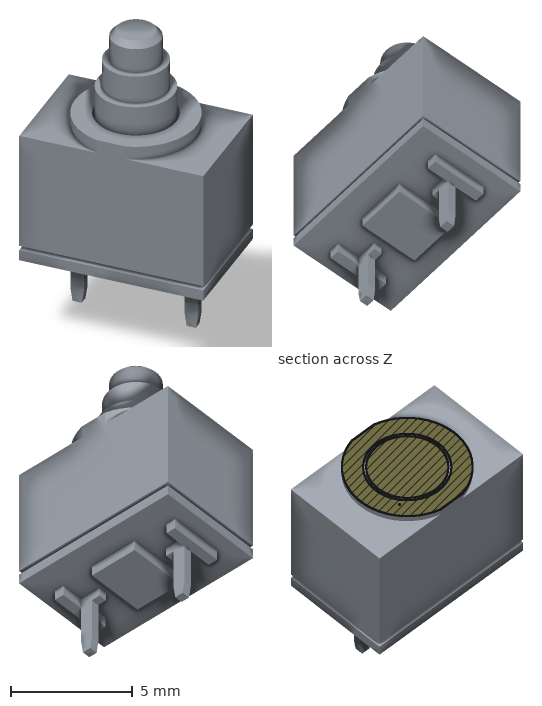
import cadquery as cq

total_height = 13.6
body_length = 8.2
body_width = 5.25

standoff_bottom = 2.5
plate_bottom = 3.0
plate_top = 3.5
body_bottom = 3.7
body_top = 9.0
collar_top = 9.62
lower_step_top = 10.91
middle_step_top = 12.2

groove_depth = 0.25

collar_diameter = 5.4
collar_bore_diameter = 3.6
lower_step_diameter = 3.4
middle_step_diameter = 2.8
tip_diameter = 2.2
tip_chamfer = 0.26

center_standoff_length = 2.34
center_standoff_width = 2.8
end_standoff_length = 0.46
end_standoff_width = 2.6

pin_center_x = 2.55
pin_width = 0.6
pin_tip_width = 0.41
pin_thickness = 0.4
pin_taper_height = 0.61
pin_shoulder_length = 0.41
pin_shoulder_bottom = 2.6


def block(length, width, bottom, top, center_x=0.0):
    """Upright block centered on the XZ plane."""
    return (
        cq.Workplane("XY", origin=(center_x, 0, bottom))
        .rect(length, width)
        .extrude(top - bottom)
    )


def disc(diameter, bottom, top):
    """Upright cylinder on the plunger axis."""
    return cq.Workplane("XY").workplane(offset=bottom).circle(diameter / 2).extrude(top - bottom)


def make_housing():
    """Body and base plate joined by a recessed neck."""
    neck_length = body_length - 2 * groove_depth
    neck_width = body_width - 2 * groove_depth
    plate = block(body_length, body_width, plate_bottom, plate_top)
    neck = block(neck_length, neck_width, plate_top, body_bottom)
    body = block(body_length, body_width, body_bottom, body_top)
    return plate.union(neck).union(body)


def make_collar():
    """Bored ring, cut flush with the long sides of the body."""
    ring = disc(collar_diameter, body_top, collar_top).cut(disc(collar_bore_diameter, body_top, collar_top))
    return ring.intersect(block(body_length, body_width, body_top, collar_top))


def make_plunger():
    """Three stacked cylinders with a chamfered tip."""
    lower_step = disc(lower_step_diameter, body_top, lower_step_top)
    middle_step = disc(middle_step_diameter, lower_step_top, middle_step_top)
    tip = disc(tip_diameter, middle_step_top, total_height).faces(">Z").chamfer(tip_chamfer)
    return lower_step.union(middle_step).union(tip)


def make_pin_with_standoff():
    """Pin on the +X side, with an inward shoulder and a standoff against its outer edge."""
    outer_x = pin_center_x + pin_width / 2
    inner_x = pin_center_x - pin_width / 2
    shoulder_x = inner_x - pin_shoulder_length
    pin = (
        cq.Workplane("XZ")
        .moveTo(outer_x, plate_bottom)
        .lineTo(outer_x, pin_taper_height)
        .lineTo(pin_center_x + pin_tip_width / 2, 0)
        .lineTo(pin_center_x - pin_tip_width / 2, 0)
        .lineTo(inner_x, pin_taper_height)
        .lineTo(inner_x, pin_shoulder_bottom)
        .lineTo(shoulder_x, pin_shoulder_bottom)
        .lineTo(shoulder_x, plate_bottom)
        .close()
        .extrude(pin_thickness / 2, both=True)
    )
    standoff_x = outer_x + end_standoff_length / 2
    standoff = block(end_standoff_length, end_standoff_width, standoff_bottom, plate_bottom, standoff_x)
    return pin.union(standoff)


center_standoff = block(center_standoff_length, center_standoff_width, standoff_bottom, plate_bottom)
right_pin = make_pin_with_standoff()
left_pin = right_pin.mirror("YZ")

result = (
    make_housing()
    .union(make_collar())
    .union(make_plunger())
    .union(center_standoff)
    .union(right_pin)
    .union(left_pin)
)